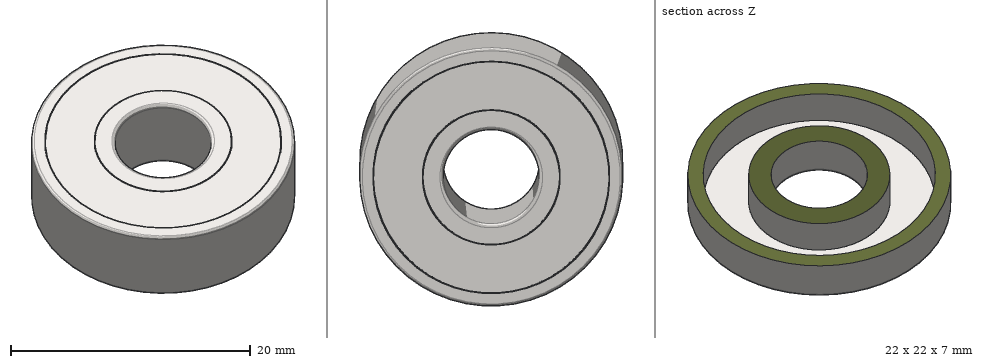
import cadquery as cq

outer_diameter = 22.0
bore_diameter = 8.0
width = 7.0
outer_edge_radius = 0.22
bore_edge_radius = 0.29

outer_seat_diameter = 19.8
inner_seat_diameter = 11.4
seat_ledge = 0.22
shield_thickness = 0.45
shield_clearance = 0.07
shield_recess = 0.02

seat_depth = shield_thickness + shield_recess
land_width = width - 2 * seat_depth
outer_land_diameter = outer_seat_diameter - 2 * seat_ledge
inner_land_diameter = inner_seat_diameter + 2 * seat_ledge


def annulus(outside_diameter, inside_diameter, height, center_z=0):
    """Plain ring about the Z axis, centred on center_z."""
    return (
        cq.Workplane("XY")
        .workplane(offset=center_z - height / 2)
        .circle(outside_diameter / 2)
        .circle(inside_diameter / 2)
        .extrude(height)
    )


def make_outer_ring():
    """Outer ring with rounded outside edges and a raised land between its shield seats."""
    ring = annulus(outer_diameter, outer_seat_diameter, width)
    outside_edges = cq.selectors.RadiusNthSelector(-1)
    ring = ring.edges("%CIRCLE").edges(outside_edges).fillet(outer_edge_radius)
    return ring.union(annulus(outer_seat_diameter, outer_land_diameter, land_width))


def make_inner_ring():
    """Inner ring with rounded bore edges and a raised land between its shield seats."""
    ring = annulus(inner_seat_diameter, bore_diameter, width)
    bore_edges = cq.selectors.RadiusNthSelector(0)
    ring = ring.edges("%CIRCLE").edges(bore_edges).fillet(bore_edge_radius)
    return ring.union(annulus(inner_land_diameter, inner_seat_diameter, land_width))


def make_shield(end):
    """Flat shield resting on the ledges at one end: +1 for the top, -1 for the bottom."""
    return annulus(
        outer_seat_diameter - 2 * shield_clearance,
        inner_seat_diameter + 2 * shield_clearance,
        shield_thickness,
        end * (land_width + shield_thickness) / 2,
    )


outer_ring = make_outer_ring().solids().val()
inner_ring = make_inner_ring().solids().val()

shields = []
for end in (-1, 1):
    shields.append(make_shield(end).val())

result = cq.Compound.makeCompound([outer_ring, inner_ring, *shields])